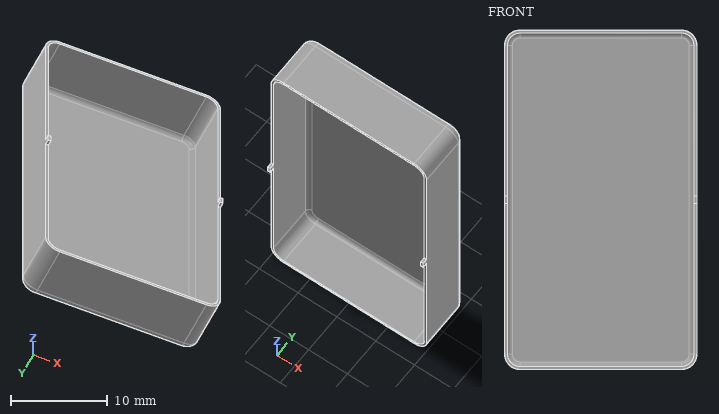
import cadquery as cq

width = 20.0
height = 35.3
total_depth = 7.0
tab_length = 0.6
wall_depth = total_depth - tab_length
wall = 0.32
corner_radius = 1.62
floor_edge_radius = 0.8
tab_height = 0.78
inner_edge_radius = floor_edge_radius - wall


def rounded_block(size_x, size_z, depth, side_radius, back_radius):
    """Block from Y = 0 to Y = depth with round corners and a round back edge."""
    block = cq.Workplane("XZ").rect(size_x, size_z).extrude(-depth)
    return block.edges("|Y").fillet(side_radius).faces(">Y").edges().fillet(back_radius)


outer = rounded_block(width, height, wall_depth, corner_radius, floor_edge_radius)
cavity = rounded_block(
    width - 2 * wall,
    height - 2 * wall,
    wall_depth - wall,
    corner_radius - wall,
    inner_edge_radius,
)
result = outer.cut(cavity)

for side in (-1, 1):
    tab = (
        cq.Workplane("XZ")
        .center(side * (width - wall) / 2, 0)
        .rect(wall, tab_height)
        .extrude(tab_length)
    )
    result = result.union(tab)